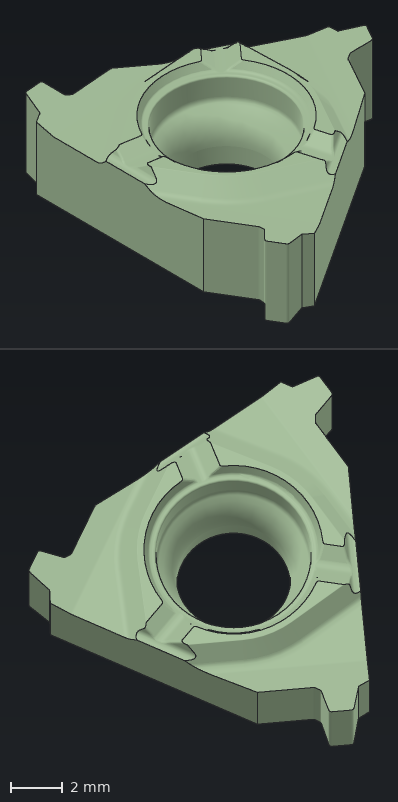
import cadquery as cq
import math

CORNER_ANGLES = (0, 120, 240)

side_distance = 4.765
shoulder_distance = 5.73
valley_height = 3.37
total_height = 4.2
stock_reach = 9.68

tooth_reach = 6.9
tooth_left_root = (-4.31, 5.85)
tooth_left_tip_x = -4.02
tooth_right_tip_x = -3.08
tooth_right_root = (-2.85, 5.89)
tooth_foot_x = -2.6
side_corner_height = 5.61
tooth_tip_radius = 0.12
tooth_root_radius = 0.14

rake_start = 4.72
rake_angle = 15.0
rake_blend_radius = 0.32

boss_top_radius = 3.73
boss_flank_angle = 50.0
boss_arc_start = 90.0
boss_arc_end = 122.0
boss_base_blend = 0.41
boss_top_blend = 0.04
boss_rise = total_height - valley_height
boss_base_radius = boss_top_radius + boss_rise / math.tan(math.radians(boss_flank_angle))

ledge_height = 3.68
ledge_width = 0.29
ledge_wall_angle = 72.0
ledge_blend_radius = 0.3

groove_angle = 166.0
groove_floor_height = 3.76
groove_wall_angle = 35.0
groove_blend_radius = 0.37
groove_flat_width = 0.04
groove_end_radius = 0.12

bore_radius = 4.4 / 2
rim_radius = 3.47
rim_cone_end_radius = 3.3
rim_cone_angle = 64.0
rim_step_radius = 3.13
rim_edge_radius = 0.11
seat_bottom_height = 0.89
seat_curve_radius = 2.07
seat_turn_angle = 47.7
seat_blend_radius = 0.38


def on_circle(radius, degrees):
    angle = math.radians(degrees)
    return radius * math.cos(angle), radius * math.sin(angle)


def rotate_about_z(point, degrees):
    angle = math.radians(degrees)
    x, y = point
    return (
        x * math.cos(angle) - y * math.sin(angle),
        x * math.sin(angle) + y * math.cos(angle),
    )


def three_times(shape):
    """Copies of a shape at the three corners, joined."""
    copies = cq.Workplane("XY")
    for angle in CORNER_ANGLES:
        copies = copies.add(shape.rotate((0, 0, 0), (0, 0, 1), angle).val())
    return copies.combine()


def fillet_upright_edges(prism, points, radius):
    """Round the vertical edges of the body that stand at the given plan points."""
    probe = 0.01
    for x, y in points:
        near_point = cq.selectors.BoxSelector(
            (x - probe, y - probe, 0), (x + probe, y + probe, total_height)
        )
        prism = prism.edges("|Z").edges(near_point).fillet(radius)
    return prism


def body_outline():
    """Prism with the full plan outline."""
    side_normal = math.radians(60)
    shoulder_end_x = (side_distance - shoulder_distance * math.sin(side_normal)) / math.cos(side_normal)
    tooth_feet = [(tooth_foot_x, shoulder_distance), tooth_right_root]
    tooth_tips = [(tooth_right_tip_x, tooth_reach), (tooth_left_tip_x, tooth_reach)]
    corner = [
        (shoulder_end_x, shoulder_distance),
        *tooth_feet,
        *tooth_tips,
        tooth_left_root,
        (-side_distance, side_corner_height),
    ]
    points = [rotate_about_z(point, angle) for angle in CORNER_ANGLES for point in corner]
    tips = [rotate_about_z(point, angle) for angle in CORNER_ANGLES for point in tooth_tips]
    feet = [rotate_about_z(point, angle) for angle in CORNER_ANGLES for point in tooth_feet]
    prism = cq.Workplane("XY").polyline(points).close().extrude(total_height)
    prism = fillet_upright_edges(prism, tips, tooth_tip_radius)
    return fillet_upright_edges(prism, feet, tooth_root_radius)


def boss():
    """Three-lobed boss: arcs joined by tangent flanks that meet in sharp corners."""
    lobe_half = (boss_arc_start - (boss_arc_end - 120)) / 2
    corner_radius = boss_base_radius / math.cos(math.radians(lobe_half))
    arc_middle = (boss_arc_start + boss_arc_end) / 2
    outline = cq.Workplane("XY", origin=(0, 0, valley_height))
    outline = outline.moveTo(*on_circle(corner_radius, boss_arc_start - lobe_half))
    for angle in CORNER_ANGLES:
        outline = outline.lineTo(*on_circle(boss_base_radius, boss_arc_start + angle))
        outline = outline.threePointArc(
            on_circle(boss_base_radius, arc_middle + angle),
            on_circle(boss_base_radius, boss_arc_end + angle),
        )
        outline = outline.lineTo(*on_circle(corner_radius, boss_arc_end + lobe_half + angle))
    solid = outline.close().extrude(boss_rise, taper=90 - boss_flank_angle)
    return solid.faces(">Z").edges().fillet(boss_top_blend)


def boss_on_blank():
    """Flat blank at valley height with the boss blended into it."""
    blank = cq.Workplane("XY").rect(2 * stock_reach, 2 * stock_reach).extrude(valley_height)
    inside = 0.9 * stock_reach
    margin = 0.01
    boss_base = cq.selectors.BoxSelector(
        (-inside, -inside, valley_height - margin), (inside, inside, valley_height + margin)
    )
    return blank.union(boss()).edges(boss_base).fillet(boss_base_blend)


def rake_wedge():
    """Sloped ground under the tooth at the +Y corner, blended into the valley."""
    end = stock_reach
    slope_angle = math.radians(rake_angle)
    tangent = rake_blend_radius * math.tan(slope_angle / 2)
    blend_end = (
        rake_start + tangent * math.cos(slope_angle),
        valley_height + tangent * math.sin(slope_angle),
    )
    return (
        cq.Workplane("YZ")
        .moveTo(rake_start - tangent, 0)
        .lineTo(rake_start - tangent, valley_height)
        .radiusArc(blend_end, -rake_blend_radius)
        .lineTo(end, valley_height + (end - rake_start) * math.tan(slope_angle))
        .lineTo(end, 0)
        .close()
        .extrude(side_distance, both=True)
    )


def side_ledge():
    """Cutter that trims the boss along the -X side face."""
    wall_run = boss_rise / math.tan(math.radians(ledge_wall_angle))
    inner = -side_distance + ledge_width
    cutter = (
        cq.Workplane("XZ")
        .moveTo(-stock_reach, ledge_height)
        .lineTo(inner, ledge_height)
        .lineTo(inner + wall_run, ledge_height + boss_rise)
        .lineTo(-stock_reach, ledge_height + boss_rise)
        .close()
        .extrude(rake_start / 2, both=True)
    )
    return cutter.edges("|Y").edges("<Z").edges(">X").fillet(ledge_blend_radius)


def rim_groove():
    """Cutter for one V groove with a rounded floor, running outward from the bore."""
    blend = groove_blend_radius * math.tan(math.radians(groove_wall_angle / 2))
    floor_half = groove_flat_width / 2 + blend
    depth = total_height - groove_floor_height
    top_half = floor_half + depth / math.tan(math.radians(groove_wall_angle))
    cutter = (
        cq.Workplane("YZ")
        .polyline([
            (-floor_half, groove_floor_height),
            (floor_half, groove_floor_height),
            (top_half, total_height),
            (-top_half, total_height),
        ])
        .close()
        .extrude(stock_reach)
    )
    cutter = cutter.edges("|X").edges("<Z").fillet(groove_blend_radius)
    return cutter.rotate((0, 0, 0), (0, 0, 1), groove_angle)


def round_groove_ends(part):
    """Round the upright corners where the groove walls meet the rim cone and the side ledge."""
    depth = total_height - groove_floor_height
    half_width = depth / math.tan(math.radians(groove_wall_angle))
    wall_ends = cq.selectors.BoxSelector(
        (bore_radius, -half_width, groove_floor_height + 0.4 * depth),
        (stock_reach, half_width, groove_floor_height + 0.8 * depth),
    )
    for angle in CORNER_ANGLES:
        turn = groove_angle + angle
        part = part.rotate((0, 0, 0), (0, 0, 1), -turn)
        part = part.edges(wall_ends).fillet(groove_end_radius)
        part = part.rotate((0, 0, 0), (0, 0, 1), turn)
    return part


def bore():
    """Screw hole: conical rim with a step, straight wall, blend, rounded seat and through hole."""
    cone_angle = math.radians(rim_cone_angle)
    rim_blend_radius = (rim_cone_end_radius - rim_step_radius) / math.sin(cone_angle)
    cone_end_height = total_height - (rim_radius - rim_cone_end_radius) * math.tan(cone_angle)
    step_height = cone_end_height - rim_blend_radius * (1 - math.cos(cone_angle))

    seat_turn = math.radians(seat_turn_angle)
    seat_top_radius = bore_radius + seat_curve_radius * (1 - math.cos(seat_turn))
    seat_top_height = seat_bottom_height + seat_curve_radius * math.sin(seat_turn)
    wall_radius = seat_top_radius + seat_blend_radius * (1 - math.cos(seat_turn))
    wall_bottom = seat_top_height + seat_blend_radius * math.sin(seat_turn)

    profile = (
        cq.Workplane("XZ")
        .moveTo(0, 0)
        .lineTo(bore_radius, 0)
        .lineTo(bore_radius, seat_bottom_height)
        .radiusArc((seat_top_radius, seat_top_height), seat_curve_radius)
        .radiusArc((wall_radius, wall_bottom), -seat_blend_radius)
        .lineTo(wall_radius, step_height - rim_edge_radius)
        .radiusArc((wall_radius + rim_edge_radius, step_height), rim_edge_radius)
        .lineTo(rim_step_radius, step_height)
        .radiusArc((rim_cone_end_radius, cone_end_height), -rim_blend_radius)
        .lineTo(rim_radius, total_height)
        .lineTo(0, total_height)
        .close()
    )
    return profile.revolve(360, (0, 0, 0), (0, 1, 0))


insert = (
    boss_on_blank()
    .cut(three_times(side_ledge()))
    .union(three_times(rake_wedge()))
    .intersect(body_outline())
    .cut(three_times(rim_groove()))
    .cut(bore())
)
result = round_groove_ends(insert)